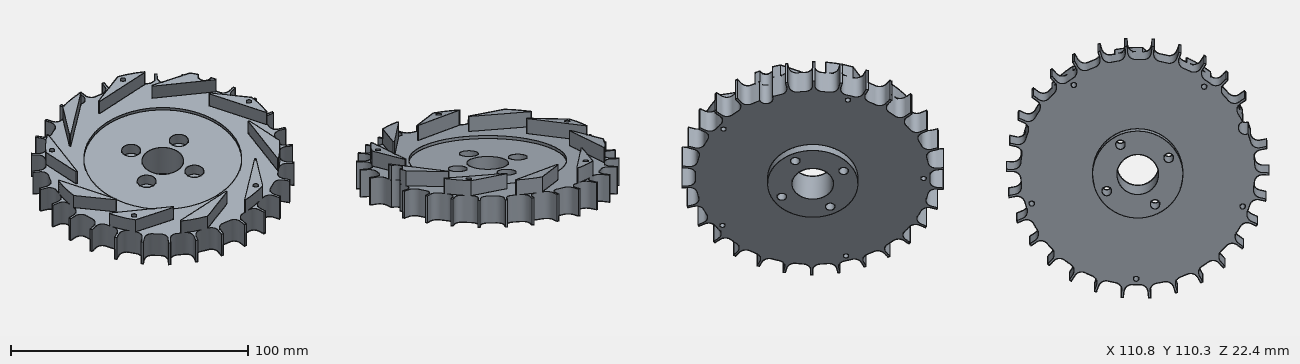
import cadquery as cq
import math

boss_height = 3.8
plate_height = 12.0
vane_height = 6.6
recess_depth = 1.3
counterbore_depth = 5.0
plate_bottom = boss_height
plate_top = plate_bottom + plate_height
recess_floor = plate_top - recess_depth
counterbore_floor = recess_floor - counterbore_depth
total_height = plate_top + vane_height

tip_radius = 55.4
root_radius = 49.4
tooth_count = 30
tooth_width = 1.0
tooth_fillet = 3.3
tooth_pitch = 360 / tooth_count

notch_width = 5.8
notch_center_radius = 49.3
notched_tooth = 8
notch_angle = notched_tooth * tooth_pitch

vane_count = 10
vane_pitch = 360 / vane_count
vane_wedge_angle = vane_pitch / 2
vane_tip_x = 1.8
vane_tip_y = 39.5
vane_tip_width = 0.5
vane_end_x = 29.0

pin_diameter = 2.2
pin_circle_radius = 46.7
pin_angle = 66
pin_count = vane_count // 2

boss_diameter = 38.1
recess_diameter = 66.6
bore_diameter = 17.5
bolt_circle_radius = 15.0
bolt_count = 4
bolt_diameter = 4.0
counterbore_diameter = 8.0


def cylinder(diameter, bottom, top):
    """Upright cylinder on the part axis between two heights."""
    return cq.Workplane("XY").workplane(offset=bottom).circle(diameter / 2).extrude(top - bottom)


def holes(circle_radius, start_angle, count, diameter, bottom, top):
    """Ring of upright hole cutters between two heights."""
    return (
        cq.Workplane("XY")
        .workplane(offset=bottom)
        .polarArray(circle_radius, start_angle, 360, count)
        .circle(diameter / 2)
        .extrude(top - bottom)
    )


def toothed_plate():
    """Disc with thin radial teeth, each blended into the root circle."""
    plate = cylinder(2 * root_radius, plate_bottom, plate_top)
    bar = cq.Workplane("XY").box(tip_radius, tooth_width, plate_height, centered=(False, True, False))
    bar = bar.translate((0, 0, plate_bottom))
    for i in range(tooth_count):
        plate = plate.union(bar.rotate((0, 0, 0), (0, 0, 1), i * tooth_pitch))
    middle_radius = (root_radius + tip_radius) / 2

    def is_root_edge(edge):
        center = edge.Center()
        return math.hypot(center.x, center.y) < middle_radius

    return plate.edges("|Z").filter(is_root_edge).fillet(tooth_fillet)


def vane():
    """Wedge with a blunt inner tip and a blunt outer corner, trimmed by the root circle."""
    slope = math.tan(math.radians(vane_wedge_angle))
    end_y = vane_tip_y + vane_tip_width + slope * (vane_end_x - vane_tip_x)
    wedge = (
        cq.Workplane("XY")
        .workplane(offset=plate_top)
        .moveTo(vane_tip_x, vane_tip_y)
        .lineTo(vane_end_x, vane_tip_y)
        .lineTo(vane_end_x, end_y)
        .lineTo(vane_tip_x, vane_tip_y + vane_tip_width)
        .close()
        .extrude(vane_height)
    )
    return wedge.intersect(cylinder(2 * root_radius, plate_top, total_height))


def notch():
    """Radial slot cutter with a round bottom, open towards the rim."""
    slot_length = 2 * (tip_radius - notch_center_radius)
    outer = (
        cq.Workplane("XY")
        .center(notch_center_radius + slot_length / 2, 0)
        .rect(slot_length, notch_width)
        .extrude(total_height)
    )
    bottom = cq.Workplane("XY").center(notch_center_radius, 0).circle(notch_width / 2).extrude(total_height)
    return outer.union(bottom).rotate((0, 0, 0), (0, 0, 1), notch_angle)


body = toothed_plate().union(cylinder(boss_diameter, 0, plate_bottom))

single_vane = vane()
for i in range(vane_count):
    body = body.union(single_vane.rotate((0, 0, 0), (0, 0, 1), i * vane_pitch))

body = body.cut(notch())
body = body.cut(cylinder(recess_diameter, recess_floor, plate_top))
body = body.cut(cylinder(bore_diameter, 0, plate_top))
body = body.cut(holes(bolt_circle_radius, 0, bolt_count, bolt_diameter, 0, plate_top))
body = body.cut(
    holes(bolt_circle_radius, 0, bolt_count, counterbore_diameter, counterbore_floor, recess_floor)
)
result = body.cut(holes(pin_circle_radius, pin_angle, pin_count, pin_diameter, 0, total_height))